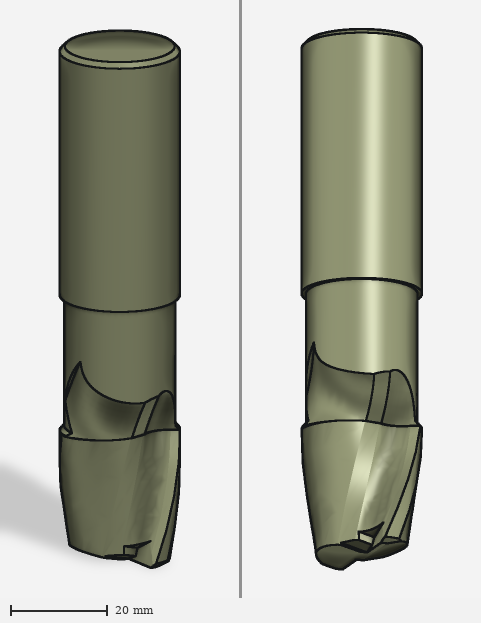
import cadquery as cq
import math

TOTAL_LENGTH = 110.0
SHANK_RADIUS = 12.48
SHANK_CHAMFER = 1.1
NECK_RADIUS = 11.5
NECK_TOP = 56.3
HEAD_LENGTH = 27.2
COLLAR_HEIGHT = 1.0

HEAD_RADIUS = SHANK_RADIUS
TWIST = 56.0
LAND_ANGLE = 15.5
TIP_CHAMFER = 1.1
END_RELIEF_ANGLE = 14.0
END_FLAT = 1.4

LAND_START = (-HEAD_RADIUS, 0)
LAND_MIDDLE = (
    -HEAD_RADIUS * math.cos(math.radians(LAND_ANGLE / 2)),
    -HEAD_RADIUS * math.sin(math.radians(LAND_ANGLE / 2)),
)
LAND_END = (
    -HEAD_RADIUS * math.cos(math.radians(LAND_ANGLE)),
    -HEAD_RADIUS * math.sin(math.radians(LAND_ANGLE)),
)
BACK_MIDDLE = (-3.8, -7.9)
HEEL_OUTER = (2.3, -6.4)
HEEL_INNER = (4.8, -3.7)
FLUTE_MIDDLE = (7.9, -0.7)
RAKE_STRIP_END = (10.6, -0.3)
CUTTING_EDGE = (HEAD_RADIUS, 0)

GASH_INNER_X = 3.1
GASH_WALL_X = 5.4
GASH_WALL_BOTTOM = 1.1
GASH_WALL_TOP = 2.9
GASH_OUTER_X = 10.3
GASH_TOP = 5.9
GASH_LEAN = 15.0

WHEEL_AXIS_DISTANCE = 20.9
WHEEL_TILT = 17.0
WHEEL_SIDE = (-14.8, -6.6)
WHEEL_SHOULDER = (-14.3, -3.7)
WHEEL_RIM_END = (-12.9, -2.0)

CLEARANCE = 5.5


def opposite(point):
    """The point turned by 180 degrees about the tool axis."""
    return (-point[0], -point[1])


def flute_profile(sketch):
    """Continue a sketch from its current point along the back, heel and flute to the next cutting edge."""
    return (
        sketch.threePointArc(BACK_MIDDLE, HEEL_OUTER)
        .lineTo(*HEEL_INNER)
        .threePointArc(FLUTE_MIDDLE, RAKE_STRIP_END)
        .lineTo(*CUTTING_EDGE)
    )


def twisted_blank():
    sketch = cq.Workplane("XY").moveTo(*LAND_START).threePointArc(LAND_MIDDLE, LAND_END)
    sketch = flute_profile(sketch)
    sketch = (
        sketch.threePointArc(opposite(LAND_MIDDLE), opposite(LAND_END))
        .threePointArc(opposite(BACK_MIDDLE), opposite(HEEL_OUTER))
        .lineTo(*opposite(HEEL_INNER))
        .threePointArc(opposite(FLUTE_MIDDLE), opposite(RAKE_STRIP_END))
        .close()
    )
    return sketch.twistExtrude(HEAD_LENGTH, TWIST)


def tip_envelope():
    """Chamfered cylinder; its wall stays clear of the lands."""
    radius = HEAD_RADIUS + TIP_CHAMFER
    return (
        cq.Workplane("XY").circle(radius).extrude(HEAD_LENGTH)
        .faces("<Z").chamfer(2 * TIP_CHAMFER)
    )


def end_relief(side):
    """Wedge that slopes the end face upward away from the middle strip."""
    reach = HEAD_RADIUS + CLEARANCE
    rise = (reach - END_FLAT) * math.tan(math.radians(END_RELIEF_ANGLE))
    return (
        cq.Workplane("YZ")
        .polyline([(side * END_FLAT, 0), (side * reach, rise), (side * reach, 0)]).close()
        .extrude(reach, both=True)
    )


def gash():
    """Notch in front of the cutting edge on +X, with its rake face leaning back from Y = 0."""
    reach = HEAD_RADIUS + CLEARANCE
    return (
        cq.Workplane("XZ")
        .moveTo(GASH_INNER_X, -CLEARANCE)
        .lineTo(GASH_INNER_X, 0)
        .lineTo(GASH_WALL_X, GASH_WALL_BOTTOM)
        .lineTo(GASH_WALL_X, GASH_WALL_TOP)
        .lineTo(GASH_OUTER_X, GASH_TOP)
        .lineTo(reach, GASH_TOP)
        .lineTo(reach, -CLEARANCE)
        .close()
        .extrude(reach)
        .rotate((0, 0, 0), (1, 0, 0), -GASH_LEAN)
    )


def make_cutting_head():
    head = twisted_blank().intersect(tip_envelope())
    for side in (-1, 1):
        head = head.cut(end_relief(side))
    for turn in (0, 180):
        head = head.cut(gash().rotate((0, 0, 0), (0, 0, 1), turn))
    return head


def runout_wheel():
    """Wheel with the flute profile on its rim, set at the top of the head."""
    sketch = cq.Workplane("XY").moveTo(*WHEEL_SIDE).threePointArc(WHEEL_SHOULDER, WHEEL_RIM_END)
    sketch = flute_profile(sketch)
    wheel = (
        sketch.lineTo(CUTTING_EDGE[0], -WHEEL_AXIS_DISTANCE)
        .lineTo(WHEEL_SIDE[0], -WHEEL_AXIS_DISTANCE)
        .close()
        .revolve(360, (0, -WHEEL_AXIS_DISTANCE), (1, -WHEEL_AXIS_DISTANCE))
    )
    return (
        wheel.rotate((0, 0, 0), (0, 1, 0), WHEEL_TILT)
        .rotate((0, 0, 0), (0, 0, 1), TWIST)
        .translate((0, 0, HEAD_LENGTH))
    )


def make_shank():
    shank = (
        cq.Workplane("XZ")
        .moveTo(0, HEAD_LENGTH)
        .lineTo(HEAD_RADIUS, HEAD_LENGTH)
        .lineTo(NECK_RADIUS, HEAD_LENGTH + COLLAR_HEIGHT)
        .lineTo(NECK_RADIUS, NECK_TOP)
        .lineTo(SHANK_RADIUS, NECK_TOP)
        .lineTo(SHANK_RADIUS, TOTAL_LENGTH - SHANK_CHAMFER)
        .lineTo(SHANK_RADIUS - SHANK_CHAMFER, TOTAL_LENGTH)
        .lineTo(0, TOTAL_LENGTH)
        .close()
        .revolve(360, (0, 0), (0, 1))
    )
    for turn in (0, 180):
        shank = shank.cut(runout_wheel().rotate((0, 0, 0), (0, 0, 1), turn))
    return shank


cutting_head = make_cutting_head()
shank = make_shank()

result = cq.Compound.makeCompound([cutting_head.val(), shank.val()])